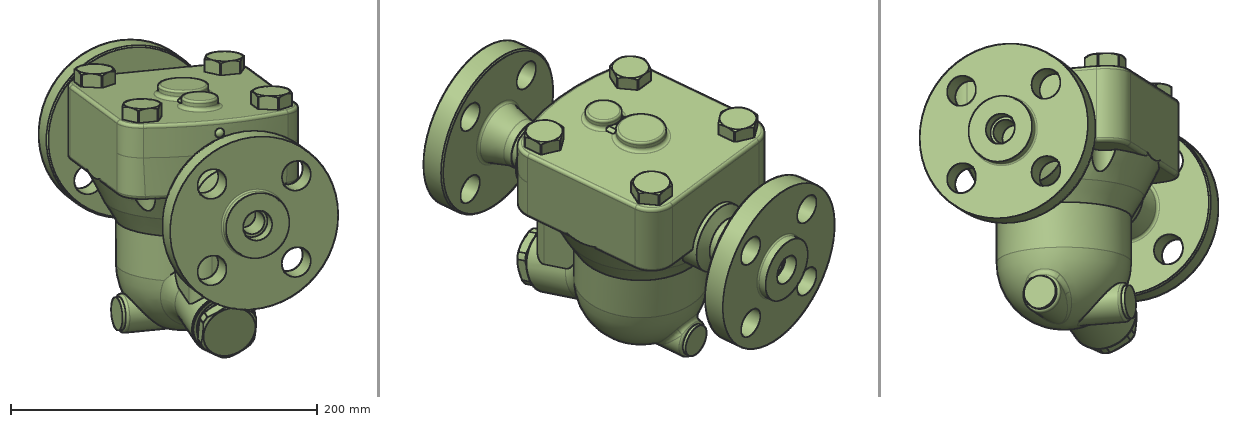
import cadquery as cq
import math

LENGTH = 264.0
PIPE_CENTER_X = 10.0
FLANGE_DIA = 117.0
FLANGE_THICKNESS = 15.8
FLANGE_CHAMFER = 1.0
FLANGE_HOLE_DIA = 20.0
FLANGE_HOLE_OFFSET = 29.3
FACE_DIA = 44.0
FACE_HEIGHT = 6.5
FACE_ROOT_FILLET = 1.0
NECK_LARGE_DIA = 42.8
NECK_SMALL_DIA = 33.0
NECK_TAPER_LENGTH = 17.7
NECK_STRAIGHT_LENGTH = 6.3
NECK_ROOT_FILLET = 2.0
STUB_DIA = 32.0
STUB_LENGTH = 5.3
BRANCH_DIA = 48.0
BRANCH_TAPER_LENGTH = 4.5
PORT_DIA = 20.0
PORT_DEPTH = 9.0
BORE_DIA = 16.0
BORE_DEPTH = 26.5

COVER_WIDTH = 125.0
COVER_BULGE_X = 69.5
CORNER_RADIUS = 17.5
COVER_TOP = 52.3
SPLIT_Z = 29.8
RIM_BOTTOM = 1.0
COVER_FILLET = 2.5
RIM_FILLET = 2.6
BULGE_DRAFT = 1.8
BOLT_OFFSET = COVER_WIDTH / 2 - CORNER_RADIUS
BOLT_FLATS = 24.0
BOLT_CORNER_DIA = 27.2
BOLT_HEIGHT = 9.2
BOLT_CHAMFER_HEIGHT = 1.0
BOLT_RELIEF_DIA = 17.5

MAIN_BOSS_DIA = 33.0
SIDE_BOSS_DIA = 24.0
SIDE_BOSS_X = 31.5
BOSS_HEIGHT = 6.5
BOSS_TOP_FILLET = 1.5
BOSS_ROOT_FILLET = 2.6
WEB_HEIGHT = 2.0
WEB_TOP_WIDTH = 13.7
WEB_ROOT_WIDTH = 19.5
STUD_RADIUS = 3.2
STUD_Z = 43.8

VESSEL_RADIUS = 44.0
DOME_Z = -62.5
LOWER_CONE_Z = -32.5
UPPER_CONE_Z = -18.5
UPPER_CONE_RADIUS = 52.3
CONE_TOP_Z = 4.2
CONE_TOP_RADIUS = 64.0

DRAIN_DIA = 26.0
DRAIN_REACH = 46.2
DRAIN_Z = -92.7
DRAIN_EDGE_RADIUS = 1.8
DRAIN_ROOT_FILLET = 3.7
PLUG_DIA = 22.0
PLUG_HEIGHT = 2.5

STRAINER_TILT = 15.0
STRAINER_DIA = 44.0
STRAINER_LENGTH = 80.8
STRAINER_CHAMFER = 0.8
STRAINER_ROOT_FILLET = 15.8
GASKET_DIA = 38.0
GASKET_THICKNESS = 2.5
CAP_FLATS = 37.0
CAP_CORNER_DIA = 40.0
CAP_FACE_DIA = 36.0
CAP_HEIGHT = 8.2
CAP_CHAMFER_HEIGHT = 1.3
LEG_WIDTH = 40.0
LEG_END_X = 77.0
LEG_CORNER_RADIUS = 12.0
LEG_BOTTOM = -74.0


def hex_head(flats, corner_dia, face_dia, height, chamfer_height):
    """Hexagonal head on Z = 0 with a vertex on X, its corners turned down and chamfered."""
    head = cq.Workplane("XY").polygon(6, flats / math.cos(math.pi / 6)).extrude(height)
    trim = (
        cq.Workplane("XZ")
        .polyline([
            (0, 0),
            (corner_dia / 2, 0),
            (corner_dia / 2, height - chamfer_height),
            (face_dia / 2, height),
            (0, height),
        ])
        .close()
        .revolve(360, (0, 0), (0, 1))
    )
    return head.intersect(trim)


def bulge_radius(bulge_x):
    """Radius of the arc through X = bulge_x that touches both corner arcs."""
    gap = bulge_x - BOLT_OFFSET
    return (gap**2 + BOLT_OFFSET**2 - CORNER_RADIUS**2) / (2 * (gap - CORNER_RADIUS))


def add_outline(plane, bulge_x):
    """Draw a rounded square whose +X side is an arc tangent to its two corners."""
    half = COVER_WIDTH / 2
    corner = BOLT_OFFSET
    diagonal = CORNER_RADIUS * math.sqrt(0.5)
    arc_x = bulge_x - bulge_radius(bulge_x)
    angle = math.atan2(corner, corner - arc_x)
    tangent_x = corner + CORNER_RADIUS * math.cos(angle)
    tangent_y = corner + CORNER_RADIUS * math.sin(angle)
    middle_angle = (angle + math.pi / 2) / 2
    middle_x = corner + CORNER_RADIUS * math.cos(middle_angle)
    middle_y = corner + CORNER_RADIUS * math.sin(middle_angle)
    return (
        plane.moveTo(-corner, -half)
        .lineTo(corner, -half)
        .threePointArc((middle_x, -middle_y), (tangent_x, -tangent_y))
        .threePointArc((bulge_x, 0), (tangent_x, tangent_y))
        .threePointArc((middle_x, middle_y), (corner, half))
        .lineTo(-corner, half)
        .threePointArc((-corner - diagonal, corner + diagonal), (-half, corner))
        .lineTo(-half, -corner)
        .threePointArc((-corner - diagonal, -corner - diagonal), (-corner, -half))
        .close()
    )


def make_cover():
    plane = cq.Workplane("XY", origin=(0, 0, SPLIT_Z))
    cover = add_outline(plane, COVER_BULGE_X).extrude(COVER_TOP - SPLIT_Z)
    return cover.faces(">Z").edges().fillet(COVER_FILLET)


def make_rim():
    """Vessel flange under the cover; its bulged side leans inwards going down."""
    plane = cq.Workplane("XY", origin=(0, 0, RIM_BOTTOM))
    lower = add_outline(plane, COVER_BULGE_X - BULGE_DRAFT)
    upper = add_outline(lower.workplane(offset=SPLIT_Z - RIM_BOTTOM), COVER_BULGE_X)
    rim = upper.loft(ruled=True)
    return rim.faces("<Z").edges().fillet(RIM_FILLET)


def make_vessel():
    profile = (
        cq.Workplane("XZ")
        .moveTo(0, DOME_Z - VESSEL_RADIUS)
        .threePointArc(
            (VESSEL_RADIUS * math.sqrt(0.5), DOME_Z - VESSEL_RADIUS * math.sqrt(0.5)),
            (VESSEL_RADIUS, DOME_Z),
        )
        .lineTo(VESSEL_RADIUS, LOWER_CONE_Z)
        .lineTo(UPPER_CONE_RADIUS, UPPER_CONE_Z)
        .lineTo(CONE_TOP_RADIUS, CONE_TOP_Z)
        .lineTo(0, CONE_TOP_Z)
        .close()
    )
    vessel = profile.revolve(360, (0, 0), (0, 1))
    bottom = DOME_Z - VESSEL_RADIUS
    plane = cq.Workplane("XY", origin=(0, 0, bottom))
    limit = add_outline(plane, COVER_BULGE_X).extrude(CONE_TOP_Z - bottom)
    return vessel.intersect(limit)


def make_drain():
    """Drain boss along +X from the vessel axis, closed by a plug."""
    boss_end = DRAIN_REACH - PLUG_HEIGHT
    boss = cq.Workplane("YZ").circle(DRAIN_DIA / 2).extrude(boss_end)
    boss = boss.faces(">X").edges().fillet(DRAIN_EDGE_RADIUS)
    plug = cq.Workplane("YZ", origin=(boss_end, 0, 0)).circle(PLUG_DIA / 2).extrude(PLUG_HEIGHT)
    return boss.union(plug).translate((0, 0, DRAIN_Z))


def add_drains(vessel):
    """Drains on the -X side, blended into the dome, and on the -Y side, unblended."""
    drain = make_drain()
    reach = DRAIN_DIA / 2 + 0.3
    root = cq.selectors.BoxSelector(
        (-VESSEL_RADIUS + DRAIN_EDGE_RADIUS, -reach, DRAIN_Z - reach),
        (0, reach, DRAIN_Z + reach),
    )
    vessel = vessel.union(drain.rotate((0, 0, 0), (0, 0, 1), 180))
    vessel = vessel.edges(root).fillet(DRAIN_ROOT_FILLET)
    return vessel.union(drain.rotate((0, 0, 0), (0, 0, 1), -90))


def circle_on_x(x, radius):
    """Selector for the circular edge of a given radius centred on the X axis."""
    margin = 0.3
    reach = radius + margin
    return cq.selectors.BoxSelector(
        (x - margin, -reach, -reach), (x + margin, reach, reach), boundingbox=True
    )


def make_pipe_half():
    """Half of the flanged pipe line, from X = 0 out to the +X face."""
    end = LENGTH / 2
    front = end - FACE_HEIGHT
    back = front - FLANGE_THICKNESS
    neck_straight = back - NECK_TAPER_LENGTH
    neck_end = neck_straight - NECK_STRAIGHT_LENGTH
    stub_end = neck_end - STUB_LENGTH
    branch_end = stub_end - BRANCH_TAPER_LENGTH
    flange_r = FLANGE_DIA / 2
    face_r = FACE_DIA / 2
    neck_r = NECK_LARGE_DIA / 2
    pipe = (
        cq.Workplane("XY")
        .polyline([
            (0, 0),
            (end, 0),
            (end, face_r),
            (front, face_r),
            (front, flange_r),
            (back + FLANGE_CHAMFER, flange_r),
            (back, flange_r - FLANGE_CHAMFER),
            (back, neck_r),
            (neck_straight, NECK_SMALL_DIA / 2),
            (neck_end, NECK_SMALL_DIA / 2),
            (neck_end, STUB_DIA / 2),
            (stub_end, STUB_DIA / 2),
            (branch_end, BRANCH_DIA / 2),
            (0, BRANCH_DIA / 2),
        ])
        .close()
        .revolve(360, (0, 0), (1, 0))
    )
    pipe = pipe.edges(circle_on_x(back, neck_r)).fillet(NECK_ROOT_FILLET)
    pipe = pipe.edges(circle_on_x(front, face_r)).fillet(FACE_ROOT_FILLET)
    holes = (
        cq.Workplane("YZ", origin=(back, 0, 0))
        .rect(2 * FLANGE_HOLE_OFFSET, 2 * FLANGE_HOLE_OFFSET, forConstruction=True)
        .vertices()
        .circle(FLANGE_HOLE_DIA / 2)
        .extrude(FLANGE_THICKNESS)
    )
    port = cq.Workplane("YZ", origin=(end - PORT_DEPTH, 0, 0)).circle(PORT_DIA / 2).extrude(PORT_DEPTH)
    bore = cq.Workplane("YZ", origin=(end - BORE_DEPTH, 0, 0)).circle(BORE_DIA / 2).extrude(BORE_DEPTH)
    return pipe.cut(holes).cut(port).cut(bore)


def make_strainer():
    """Tilted branch blended into the dome, closed by a gasket and a hex cap."""
    radius = STRAINER_DIA / 2
    fillet = STRAINER_ROOT_FILLET
    blend_r = radius + fillet
    blend_x = math.sqrt((VESSEL_RADIUS + fillet) ** 2 - blend_r**2)
    dome_scale = VESSEL_RADIUS / (VESSEL_RADIUS + fillet)
    dome_angle = math.atan2(blend_r, blend_x)
    middle_angle = (dome_angle + math.pi / 2) / 2
    middle = (
        blend_x - fillet * math.cos(middle_angle),
        blend_r - fillet * math.sin(middle_angle),
    )
    branch = (
        cq.Workplane("XY")
        .lineTo(STRAINER_LENGTH, 0)
        .lineTo(STRAINER_LENGTH, radius - STRAINER_CHAMFER)
        .lineTo(STRAINER_LENGTH - STRAINER_CHAMFER, radius)
        .lineTo(blend_x, radius)
        .threePointArc(middle, (blend_x * dome_scale, blend_r * dome_scale))
        .close()
        .revolve(360, (0, 0), (1, 0))
    )
    gasket = (
        cq.Workplane("YZ", origin=(STRAINER_LENGTH, 0, 0))
        .circle(GASKET_DIA / 2)
        .extrude(GASKET_THICKNESS)
    )
    cap = (
        hex_head(CAP_FLATS, CAP_CORNER_DIA, CAP_FACE_DIA, CAP_HEIGHT, CAP_CHAMFER_HEIGHT)
        .rotate((0, 0, 0), (0, 1, 0), 90)
        .translate((STRAINER_LENGTH + GASKET_THICKNESS, 0, 0))
    )
    strainer = branch.union(gasket).union(cap)
    return strainer.rotate((0, 0, 0), (0, 1, 0), STRAINER_TILT).translate((0, 0, DOME_Z))


def make_leg():
    return (
        cq.Workplane("XY", origin=(LEG_END_X / 2, 0, LEG_BOTTOM))
        .rect(LEG_END_X, LEG_WIDTH)
        .extrude(-LEG_BOTTOM)
        .edges("|Z and >X")
        .fillet(LEG_CORNER_RADIUS)
    )


def make_boss(x, diameter):
    """Round cover boss with a rounded top edge and a flared root."""
    radius = diameter / 2
    root = BOSS_ROOT_FILLET
    top = BOSS_TOP_FILLET
    root_mid = root * (1 - math.sqrt(0.5))
    top_mid = top * (1 - math.sqrt(0.5))
    return (
        cq.Workplane("XZ")
        .lineTo(radius + root, 0)
        .threePointArc((radius + root_mid, root_mid), (radius, root))
        .lineTo(radius, BOSS_HEIGHT - top)
        .threePointArc((radius - top_mid, BOSS_HEIGHT - top_mid), (radius - top, BOSS_HEIGHT))
        .lineTo(0, BOSS_HEIGHT)
        .close()
        .revolve(360, (0, 0), (0, 1))
        .translate((x, 0, COVER_TOP))
    )


def make_web():
    """Low trapezoidal web joining the two cover bosses."""
    return (
        cq.Workplane("YZ")
        .polyline([
            (-WEB_ROOT_WIDTH / 2, COVER_TOP),
            (WEB_ROOT_WIDTH / 2, COVER_TOP),
            (WEB_TOP_WIDTH / 2, COVER_TOP + WEB_HEIGHT),
            (-WEB_TOP_WIDTH / 2, COVER_TOP + WEB_HEIGHT),
        ])
        .close()
        .extrude(SIDE_BOSS_X)
    )


part = add_drains(make_vessel())
part = part.union(make_strainer()).union(make_leg())

bolt_centers = [(sx * BOLT_OFFSET, sy * BOLT_OFFSET) for sx in (-1, 1) for sy in (-1, 1)]
reliefs = (
    cq.Workplane("XY", origin=(0, 0, RIM_BOTTOM))
    .pushPoints(bolt_centers)
    .circle(BOLT_RELIEF_DIA / 2)
    .extrude(UPPER_CONE_Z - RIM_BOTTOM)
)
part = part.cut(reliefs)

pipe_half = make_pipe_half()
part = part.union(make_rim()).union(make_cover())
part = part.union(pipe_half.translate((PIPE_CENTER_X, 0, 0)))
part = part.union(pipe_half.mirror("YZ").translate((PIPE_CENTER_X, 0, 0)))

part = part.union(make_boss(0, MAIN_BOSS_DIA)).union(make_boss(SIDE_BOSS_X, SIDE_BOSS_DIA))
part = part.union(make_web())
part = part.union(cq.Workplane("XY").sphere(STUD_RADIUS).translate((COVER_BULGE_X, 0, STUD_Z)))

head = hex_head(BOLT_FLATS, BOLT_CORNER_DIA, BOLT_FLATS, BOLT_HEIGHT, BOLT_CHAMFER_HEIGHT)
for x, y in bolt_centers:
    turn = 0 if x * y > 0 else 90
    part = part.union(head.rotate((0, 0, 0), (0, 0, 1), turn).translate((x, y, COVER_TOP)))

result = part